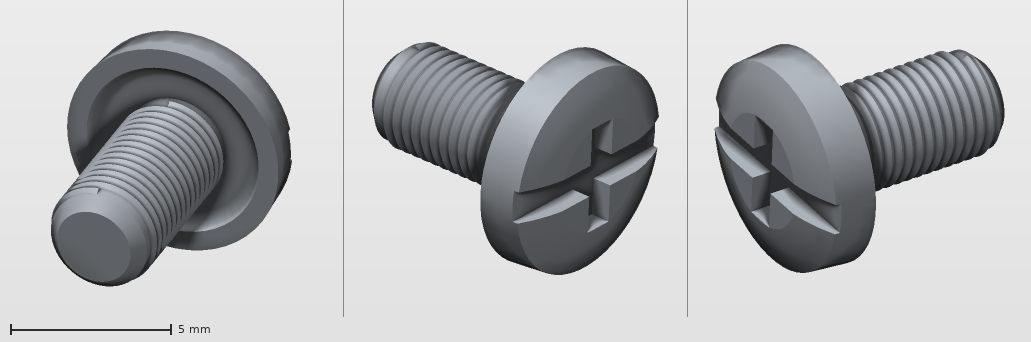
import cadquery as cq

total_length = 8.24
head_height = 1.9
shank_length = total_length - head_height

head_radius = 7.16 / 2
rim_top_radius = 3.47
rim_height = 1.41
top_flat_radius = 1.895
dome_mid_radius = 2.77
dome_mid_height = 1.7

recess_radius = 2.92
recess_floor_radius = 2.39
recess_depth = 0.38
recess_mid_radius = 2.75
recess_mid_depth = 0.26

slot_width = 1.105
slot_depth = 0.675

cross_width = 1.02
cross_length = 3.675

core_radius = 3.255 / 2
tip_radius = 1.245
tip_chamfer_length = 0.4
crest_radius = 1.755
pitch = 0.38
thread_turns = 15
thread_base = 0.37
flank_sink = 0.01
thread_root_sink = 0.04

clocking_angle = 3.5


def make_head():
    """Head with its bearing face on Z = 0 and the screw axis along Z."""
    body = (
        cq.Workplane("XZ")
        .moveTo(0, 0)
        .lineTo(head_radius, 0)
        .lineTo(rim_top_radius, rim_height)
        .threePointArc((dome_mid_radius, dome_mid_height), (top_flat_radius, head_height))
        .lineTo(0, head_height)
        .close()
        .revolve(360, (0, 0, 0), (0, 1, 0))
    )
    recess = (
        cq.Workplane("XZ")
        .moveTo(0, 0)
        .lineTo(recess_radius, 0)
        .threePointArc((recess_mid_radius, recess_mid_depth), (recess_floor_radius, recess_depth))
        .lineTo(0, recess_depth)
        .close()
        .revolve(360, (0, 0, 0), (0, 1, 0))
    )
    slot_floor = cq.Workplane("XY").workplane(offset=head_height - slot_depth)
    slot = slot_floor.rect(2 * head_radius, slot_width).extrude(slot_depth)
    cross_arm = slot_floor.rect(cross_width, cross_length).extrude(slot_depth)
    return body.cut(recess).cut(slot).cut(cross_arm)


def make_core():
    """Plain shank from the recess floor down to the chamfered tip."""
    return (
        cq.Workplane("XZ")
        .moveTo(0, recess_depth)
        .lineTo(core_radius, recess_depth)
        .lineTo(core_radius, tip_chamfer_length - shank_length)
        .lineTo(tip_radius, -shank_length)
        .lineTo(0, -shank_length)
        .close()
        .revolve(360, (0, 0, 0), (0, 1, 0))
    )


def make_thread():
    """Triangular left-hand ridge, its root sunk slightly into the core."""
    root_radius = core_radius - thread_root_sink
    flank_radius = core_radius - flank_sink
    half_base = thread_base / 2
    thread_length = thread_turns * pitch
    helix = cq.Wire.makeHelix(pitch, thread_length, core_radius, lefthand=True)
    ridge = (
        cq.Workplane("XZ")
        .moveTo(root_radius, -half_base)
        .lineTo(flank_radius, -half_base)
        .lineTo(crest_radius, 0)
        .lineTo(flank_radius, half_base)
        .lineTo(root_radius, half_base)
        .close()
        .sweep(cq.Workplane(helix), isFrenet=True)
    )
    return ridge.translate((0, 0, -thread_length)).rotate((0, 0, 0), (0, 0, 1), -90)


screw = make_head().union(make_core()).union(make_thread())

result = (
    screw.rotate((0, 0, 0), (1, 0, 0), -90)
    .rotate((0, 0, 0), (0, 1, 0), -clocking_angle)
)